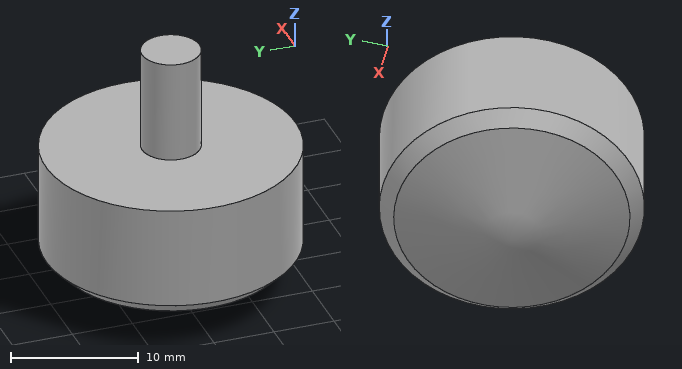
import cadquery as cq

total_height = 21.1
body_diameter = 20.8
pin_diameter = 4.8
pin_length = 8.6
chamfer_size = 1.14
cone_height = 2.79

body_radius = body_diameter / 2
pin_radius = pin_diameter / 2
cone_radius = body_radius - chamfer_size
chamfer_top = cone_height + chamfer_size
body_top = total_height - pin_length

half_profile = [
    (0, 0),
    (cone_radius, cone_height),
    (body_radius, chamfer_top),
    (body_radius, body_top),
    (pin_radius, body_top),
    (pin_radius, total_height),
    (0, total_height),
]

result = (
    cq.Workplane("XZ")
    .polyline(half_profile)
    .close()
    .revolve(360, (0, 0, 0), (0, 1, 0))
)